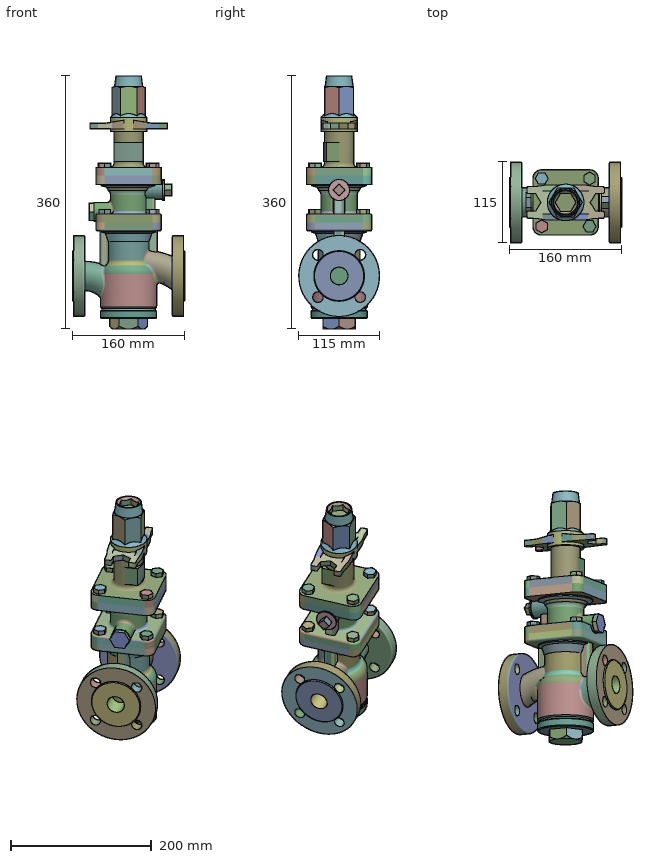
import cadquery as cq
import math


face_to_face = 160.0
flange_dia = 115.0
flange_thickness = 16.0
flange_edge_radius = 2.2
raised_face_dia = 72.0
raised_face_height = 2.0
port_dia = 25.0
port_depth = 30.0
flange_hole_dia = 15.0
flange_hole_circle = 85.0
flange_hole_count = 4
pipe_dia = 42.0
inlet_bend_radius = 50.0
inlet_bend_angle = 50.0
pipe_blend_radius = 4.0
outlet_rise = 5.0
outlet_bend_radius = 100.0
outlet_end_slope = 28.0
outlet_start_slope = -3.0
half_length = face_to_face / 2
flange_outer_x = half_length - raised_face_height
flange_back_x = flange_outer_x - flange_thickness

body_dia = 80.0
neck_dia = 60.0
body_bottom_z = -44.4
shoulder_low_z = 2.4
shoulder_mid_z = 14.6
shoulder_high_z = 22.0
neck_flare_z = 49.0
neck_flare_top_z = 60.7
neck_flare_top_dia = 68.0
rim_dia = 78.0

cap_top_z = -48.8
cap_bottom_z = -60.5
cap_edge = 1.3
groove_dia = 76.0
cap_hex_flats = 46.5
cap_hex_bottom_z = -75.5
cap_hex_chamfer_height = 4.0

square_side = 93.0
square_corner_radius = 12.3
square_edge_radius = 2.4
lower_bottom_z, lower_split_z, lower_top_z = 64.0, 76.0, 88.2
upper_bottom_z, upper_split_z, upper_top_z = 130.0, 142.3, 154.2
bolt_offset = 34.0
bolt_flats = 16.0
bolt_head_height = 6.3

pilot_dia = 52.0
pilot_base_fillet = 4.0
pilot_flare_low_z = 115.3
pilot_flare_mid_z = 121.7
pilot_flare_mid_dia = 58.0
pilot_flare_top_z = 125.8
pilot_flare_top_dia = 62.0
rim_thickness = 1.7

rib_half_width = 7.5
rib_edge_radius = 3.5
rib_root_radius = 3.0
body_rib_reach = 41.0
pilot_rib_reach = 37.5

boss_dia = 27.0
left_boss_z = 91.2
left_boss_end_x = 49.3
left_plug_end_x = 56.0
left_plug_flats = 25.0
left_boss_fillet = 4.0
right_boss_z = 122.2
washer_start_x = 48.4
washer_end_x = 50.7
washer_dia = 30.0
right_plug_end_x = 61.6
right_plug_flats = 12.0

stem_dia = 42.0
stem_base_fillet = 6.0
pad_bottom_z, pad_top_z = 163.0, 190.0
pad_side_y = 18.0
pad_front_y = 22.0

collar_dia = 52.0
collar_bottom_z, collar_top_z = 205.0, 225.3
handle_bottom_z, handle_top_z = 209.2, 217.4
handle_half_length = 55.0
handle_tip_half_width = 22.8
handle_root_half_width = 25.1
handle_taper_end_x = 43.5
handle_root_x = 23.5
fork_half_width = 12.4
fork_corner_x = 42.5
fork_apex_x = 35.0
arm_corner_radius = 2.4
handle_rib_outer_x = 32.2
handle_rib_inner_x = 6.9
handle_rib_inner_y = 16.3
handle_rib_top_z = 221.4

nut_flats = 41.0
nut_top_z = 269.5
nut_chamfer_height = 2.0
tip_low_dia = 40.2
tip_top_dia = 36.2
top_z = 284.5
socket_flats = 25.5
socket_depth = 12.0
socket_mouth_dia = 33.5


def cylinder(diameter, low, high):
    return cq.Workplane("XY").workplane(offset=low).circle(diameter / 2).extrude(high - low)


def corner_dia(flats):
    return flats / math.cos(math.pi / 6)


def hexagon(flats, low, high, turn=0):
    """Hexagonal prism along Z with a corner on +X before it is turned."""
    prism = cq.Workplane("XY").polygon(6, corner_dia(flats)).extrude(high - low)
    return prism.rotate((0, 0, 0), (0, 0, 1), turn).translate((0, 0, low))


def turned(profile):
    """Solid of revolution about Z from a closed outline drawn in XZ."""
    return profile.close().revolve(360, (0, 0, 0), (0, 1, 0))


def along_x(solid, z):
    """Turn a solid built along +Z so that it points along +X at height z."""
    return solid.rotate((0, 0, 0), (0, 1, 0), 90).translate((0, 0, z))


def foot_fillet(diameter, base_z, radius):
    """Solid foot whose rim is a concave fillet from a flat at base_z up to a round wall."""
    wall_r = diameter / 2
    turn = radius * (1 - math.sqrt(0.5))
    profile = (
        cq.Workplane("XZ")
        .moveTo(0, base_z)
        .lineTo(wall_r + radius, base_z)
        .threePointArc((wall_r + turn, base_z + turn), (wall_r, base_z + radius))
        .lineTo(0, base_z + radius)
    )
    return turned(profile)


def edge_box(low_xz, high_xz):
    """Selector for edges centred between two XZ corners, at any Y inside the flange diameter."""
    reach_y = flange_dia / 2
    return cq.selectors.BoxSelector((low_xz[0], -reach_y, low_xz[1]), (high_xz[0], reach_y, high_xz[1]))


def mirrored_x(solid):
    return solid.mirror("YZ")


def line_flange():
    """Flange on the +X side, with its raised face."""
    outer_r = flange_dia / 2
    edge_turn = flange_edge_radius * (1 - math.sqrt(0.5))
    disc = (
        cq.Workplane("XZ")
        .moveTo(0, flange_back_x)
        .lineTo(outer_r - flange_edge_radius, flange_back_x)
        .threePointArc(
            (outer_r - edge_turn, flange_back_x + edge_turn), (outer_r, flange_back_x + flange_edge_radius)
        )
        .lineTo(outer_r, flange_outer_x)
        .lineTo(raised_face_dia / 2, flange_outer_x)
        .lineTo(raised_face_dia / 2 - raised_face_height / 2, half_length)
        .lineTo(0, half_length)
    )
    return along_x(turned(disc), 0)


def line_flange_cuts():
    """Bolt holes and port bore of the +X flange."""
    holes = (
        cq.Workplane("XY")
        .polarArray(flange_hole_circle / 2, 360 / flange_hole_count / 2, 360, flange_hole_count)
        .circle(flange_hole_dia / 2)
        .extrude(flange_thickness)
        .translate((0, 0, flange_back_x))
    )
    bore = cylinder(port_dia, half_length - port_depth, half_length)
    return along_x(holes.union(bore), 0)


def inlet_pipe():
    """Elbow from the -X flange that bends down into the body."""
    angle = math.radians(inlet_bend_angle)

    def point(a):
        return (-flange_back_x + inlet_bend_radius * math.sin(a), inlet_bend_radius * (math.cos(a) - 1))

    path = cq.Workplane("XZ").moveTo(-flange_back_x, 0).threePointArc(point(angle / 2), point(angle))
    return cq.Workplane("YZ", origin=(-flange_back_x, 0, 0)).circle(pipe_dia / 2).sweep(path)


def outlet_pipe():
    """Pipe that falls from the neck to the +X flange along a large arc."""
    slope = math.radians(outlet_end_slope)
    centre_x = flange_back_x - outlet_bend_radius * math.sin(slope)
    centre_z = outlet_rise - outlet_bend_radius * math.cos(slope)

    def point(degrees):
        a = math.radians(degrees)
        return (centre_x + outlet_bend_radius * math.sin(a), centre_z + outlet_bend_radius * math.cos(a))

    overrun = math.degrees(flange_thickness / outlet_bend_radius)
    end_slope = outlet_end_slope + overrun
    middle_slope = (outlet_start_slope + end_slope) / 2
    start = point(outlet_start_slope)
    path = cq.Workplane("XZ").moveTo(*start).threePointArc(point(middle_slope), point(end_slope))
    a = math.radians(outlet_start_slope)
    section = cq.Plane(
        origin=(start[0], 0, start[1]), xDir=(0, 1, 0), normal=(math.cos(a), 0, -math.sin(a))
    )
    pipe = cq.Workplane(section).circle(pipe_dia / 2).sweep(path)
    clip_length = flange_back_x + flange_thickness / 2
    clip = cq.Workplane("XY").box(clip_length, flange_dia, flange_dia, centered=(False, True, True))
    return pipe.intersect(clip)


def main_body():
    """Turned body: cap groove, barrel, S-shaped shoulder, neck and flared rim."""
    body_r = body_dia / 2
    neck_r = neck_dia / 2
    groove_r = groove_dia / 2
    step = body_r - neck_r
    height = shoulder_high_z - shoulder_low_z
    radius_sum = (step**2 + height**2) / (2 * step)
    round_r = radius_sum * (shoulder_mid_z - shoulder_low_z) / height
    hollow_r = radius_sum - round_r
    half_turn = math.asin(height / radius_sum) / 2

    def round_point(a):
        return (body_r - round_r * (1 - math.cos(a)), shoulder_low_z + round_r * math.sin(a))

    def hollow_point(a):
        return (neck_r + hollow_r * (1 - math.cos(a)), shoulder_high_z - hollow_r * math.sin(a))

    profile = (
        cq.Workplane("XZ")
        .moveTo(0, cap_bottom_z)
        .lineTo(body_r - cap_edge, cap_bottom_z)
        .lineTo(body_r, cap_bottom_z + cap_edge)
        .lineTo(body_r, cap_top_z - cap_edge)
        .lineTo(body_r - cap_edge, cap_top_z)
        .lineTo(groove_r, cap_top_z)
        .lineTo(groove_r, body_bottom_z - (body_r - groove_r))
        .lineTo(body_r, body_bottom_z)
        .lineTo(body_r, shoulder_low_z)
        .threePointArc(round_point(half_turn), round_point(2 * half_turn))
        .threePointArc(hollow_point(half_turn), (neck_r, shoulder_high_z))
        .lineTo(neck_r, neck_flare_z)
        .lineTo(neck_flare_top_dia / 2, neck_flare_top_z)
        .lineTo(rim_dia / 2, lower_bottom_z - rim_thickness)
        .lineTo(rim_dia / 2, lower_bottom_z)
        .lineTo(0, lower_bottom_z)
    )
    return turned(profile)


def cap_hex():
    """Hexagon under the bottom cap, its lower corners turned to a cone."""
    corner_r = corner_dia(cap_hex_flats) / 2
    chamfer_z = cap_hex_bottom_z + cap_hex_chamfer_height
    cone = (
        cq.Workplane("XZ")
        .moveTo(0, cap_hex_bottom_z)
        .lineTo(cap_hex_flats / 2, cap_hex_bottom_z)
        .lineTo(corner_r, chamfer_z)
        .lineTo(corner_r, cap_bottom_z)
        .lineTo(0, cap_bottom_z)
    )
    return hexagon(cap_hex_flats, cap_hex_bottom_z, cap_bottom_z).intersect(turned(cone))


def square_plate(low, high):
    plate = cq.Workplane("XY").workplane(offset=low).rect(square_side, square_side).extrude(high - low)
    return plate.edges("|Z").fillet(square_corner_radius)


def square_flanges():
    """Two bolted pairs of square plates; the lower pair has rounded outer edges."""
    lower = square_plate(lower_bottom_z, lower_split_z).faces("<Z").edges().fillet(square_edge_radius)
    lower_cover = square_plate(lower_split_z, lower_top_z).faces(">Z").edges().fillet(square_edge_radius)
    upper = square_plate(upper_bottom_z, upper_split_z)
    upper_cover = square_plate(upper_split_z, upper_top_z)
    return [lower, lower_cover, upper, upper_cover]


def bolt_heads(seat_z):
    """Four bolt heads; those on one diagonal are turned a quarter turn."""
    heads = []
    for side_x in (-1, 1):
        for side_y in (-1, 1):
            turn = 90 if side_x == side_y else 0
            head = hexagon(bolt_flats, seat_z, seat_z + bolt_head_height, turn)
            heads.append(head.translate((side_x * bolt_offset, side_y * bolt_offset, 0)))
    return heads


def pilot_body():
    """Round body from the lower cover up, flared under the upper flange pair."""
    pilot_r = pilot_dia / 2
    flare_r = pilot_flare_mid_dia / 2
    step = flare_r - pilot_r
    height = pilot_flare_mid_z - pilot_flare_low_z
    hollow_r = (step**2 + height**2) / (2 * step)
    half_turn = math.asin(height / hollow_r) / 2
    flare_middle = (
        pilot_r + hollow_r * (1 - math.cos(half_turn)),
        pilot_flare_low_z + hollow_r * math.sin(half_turn),
    )
    rim_low_z = upper_bottom_z - rim_thickness
    profile = (
        cq.Workplane("XZ")
        .moveTo(0, lower_split_z)
        .lineTo(pilot_r, lower_split_z)
        .lineTo(pilot_r, pilot_flare_low_z)
        .threePointArc(flare_middle, (flare_r, pilot_flare_mid_z))
        .lineTo(pilot_flare_top_dia / 2, pilot_flare_top_z)
        .lineTo(rim_dia / 2, rim_low_z)
        .lineTo(rim_dia / 2, upper_bottom_z)
        .lineTo(0, upper_bottom_z)
    )
    return turned(profile)


def pilot_with_left_boss():
    """Pilot body with the -X boss blended into it, and a fillet around its foot."""
    boss = mirrored_x(along_x(cylinder(boss_dia, 0, left_boss_end_x), left_boss_z))
    pilot = pilot_body().union(boss)
    seam = pilot.edges(edge_box((-pilot_dia / 2, lower_split_z), (-pilot_dia / 4, pilot_flare_low_z)))
    pilot = seam.edges("not %LINE").edges("not %CIRCLE").fillet(left_boss_fillet)
    return pilot.union(foot_fillet(pilot_dia, lower_top_z, pilot_base_fillet))


def passage_rib(root_dia, reach, low, high):
    """Upright rib on the +X side: rounded outer edges, roots flared into a round wall."""
    root_half_width = rib_half_width + rib_root_radius
    root_x = math.sqrt((root_dia / 2) ** 2 - root_half_width**2)
    rib = (
        cq.Workplane("XY", origin=(0, 0, low))
        .moveTo(0, -root_half_width)
        .lineTo(root_x, -root_half_width)
        .radiusArc((root_x + rib_root_radius, -rib_half_width), rib_root_radius)
        .lineTo(reach, -rib_half_width)
        .lineTo(reach, rib_half_width)
        .lineTo(root_x + rib_root_radius, rib_half_width)
        .radiusArc((root_x, root_half_width), rib_root_radius)
        .lineTo(0, root_half_width)
        .close()
        .extrude(high - low)
    )
    return rib.faces(">X").edges("|Z").fillet(rib_edge_radius)


def left_plug():
    plug = along_x(hexagon(left_plug_flats, left_boss_end_x, left_plug_end_x, 90), left_boss_z)
    return mirrored_x(plug)


def right_boss():
    """Boss with a washer and a square plug that stands on a corner."""
    boss = cylinder(boss_dia, 0, washer_start_x)
    washer = cylinder(washer_dia, washer_start_x, washer_end_x)
    plug = (
        cq.Workplane("XY", origin=(0, 0, washer_end_x))
        .polygon(4, right_plug_flats * math.sqrt(2))
        .extrude(right_plug_end_x - washer_end_x)
    )
    return along_x(boss.union(washer).union(plug), right_boss_z)


def spring_housing():
    """Round stem with a filleted base and a curved pad on its -Y side."""
    stem_r = stem_dia / 2
    stem = cylinder(stem_dia, upper_top_z, collar_bottom_z)
    foot = foot_fillet(stem_dia, upper_top_z, stem_base_fillet)
    pad = (
        cq.Workplane("XY", origin=(0, 0, pad_bottom_z))
        .moveTo(-stem_r, 0)
        .lineTo(-stem_r, -pad_side_y)
        .threePointArc((0, -pad_front_y), (stem_r, -pad_side_y))
        .lineTo(stem_r, 0)
        .close()
        .extrude(pad_top_z - pad_bottom_z)
    )
    return stem.union(foot).union(pad)


def handle_half(top):
    """The +X half of the forked handle plate, from its underside up to top."""
    level = (1, 0)
    plate = (
        cq.Workplane("XY", origin=(0, 0, handle_bottom_z))
        .moveTo(0, handle_root_half_width)
        .lineTo(handle_root_x, handle_root_half_width)
        .spline([(handle_taper_end_x, handle_tip_half_width)], tangents=[level, level], includeCurrent=True)
        .lineTo(handle_half_length, handle_tip_half_width)
        .lineTo(handle_half_length, fork_half_width)
        .lineTo(fork_corner_x, fork_half_width)
        .lineTo(fork_apex_x, 0)
        .lineTo(0, 0)
        .close()
        .extrude(top - handle_bottom_z)
    )
    plate = plate.union(plate.mirror("XZ"))
    return plate.faces(">X").edges("|Z").fillet(arm_corner_radius)


def handle_rib():
    """Wedge on the handle at +X, -Y that rises towards the collar."""
    wedge = (
        cq.Workplane("XZ", origin=(0, -handle_rib_inner_y, 0))
        .moveTo(handle_rib_inner_x, handle_bottom_z)
        .lineTo(handle_rib_outer_x, handle_bottom_z)
        .lineTo(handle_rib_outer_x, handle_top_z)
        .lineTo(handle_rib_inner_x, handle_rib_top_z)
        .close()
        .extrude(handle_root_half_width - handle_rib_inner_y)
    )
    return wedge.intersect(handle_half(handle_rib_top_z))


def handle():
    """Collar with two forked arms and four wedge ribs."""
    arm = handle_half(handle_top_z)
    rib = handle_rib()
    arm = arm.union(rib).union(rib.mirror("XZ"))
    collar = cylinder(collar_dia, collar_bottom_z, collar_top_z)
    return arm.union(mirrored_x(arm)).union(collar)


def adjusting_cap():
    """Hexagon cap on a conical seat, with a tapered tip and a hexagon socket."""
    corner_r = corner_dia(nut_flats) / 2
    seat_height = (collar_dia - nut_flats) / 2
    seat = (
        cq.Workplane("XZ")
        .moveTo(0, collar_top_z)
        .lineTo(collar_dia / 2, collar_top_z)
        .lineTo(nut_flats / 2, collar_top_z + seat_height)
        .lineTo(0, collar_top_z + seat_height)
    )
    envelope = (
        cq.Workplane("XZ")
        .moveTo(0, collar_top_z)
        .lineTo(corner_r, collar_top_z)
        .lineTo(corner_r, nut_top_z - nut_chamfer_height)
        .lineTo(nut_flats / 2, nut_top_z)
        .lineTo(0, nut_top_z)
    )
    nut = hexagon(nut_flats, collar_top_z, nut_top_z).intersect(turned(envelope))
    tip = (
        cq.Workplane("XZ")
        .moveTo(0, nut_top_z)
        .lineTo(tip_low_dia / 2, nut_top_z)
        .lineTo(tip_top_dia / 2, top_z)
        .lineTo(0, top_z)
    )
    mouth_depth = (socket_mouth_dia - socket_flats) / 2
    mouth = (
        cq.Workplane("XZ")
        .moveTo(0, top_z - mouth_depth)
        .lineTo(socket_flats / 2, top_z - mouth_depth)
        .lineTo(socket_mouth_dia / 2, top_z)
        .lineTo(0, top_z)
    )
    socket = hexagon(socket_flats, top_z - socket_depth, top_z).union(turned(mouth))
    return nut.union(turned(seat)).union(turned(tip)).cut(socket)


def joined(solids):
    """Union that keeps the parting lines between stacked plates."""
    total = solids[0]
    for solid in solids[1:]:
        total = total.union(solid, clean=False)
    return total


def cast_body():
    """Body with both pipes blended into it, and the passage ribs."""
    body = main_body().rotate((0, 0, 0), (0, 0, 1), 90)
    body = body.union(inlet_pipe())
    inlet_seam = body.edges(edge_box((-body_dia / 2, -flange_dia / 2), (-neck_dia / 4, shoulder_high_z)))
    body = inlet_seam.edges("not %LINE").edges("not %CIRCLE").fillet(pipe_blend_radius)
    body = body.union(outlet_pipe())
    outlet_seam = body.edges(edge_box((neck_dia / 4, -flange_dia / 2), (body_dia / 2, neck_flare_z)))
    body = outlet_seam.edges("not %LINE").edges("not %CIRCLE").fillet(pipe_blend_radius)
    left_rib = mirrored_x(passage_rib(neck_dia, body_rib_reach, 0, lower_bottom_z))
    right_rib = passage_rib(neck_dia, body_rib_reach, outlet_rise, lower_bottom_z)
    return body.union(left_rib).union(right_rib)


parts = [cast_body(), cap_hex(), pilot_with_left_boss(), left_plug(), right_boss()]
parts += [passage_rib(pilot_dia, pilot_rib_reach, lower_top_z, right_boss_z)]
parts += [line_flange(), mirrored_x(line_flange()), spring_housing(), handle(), adjusting_cap()]
parts += bolt_heads(lower_top_z) + bolt_heads(upper_top_z) + square_flanges()
result = joined(parts)
result = result.cut(line_flange_cuts(), clean=False).cut(mirrored_x(line_flange_cuts()), clean=False)